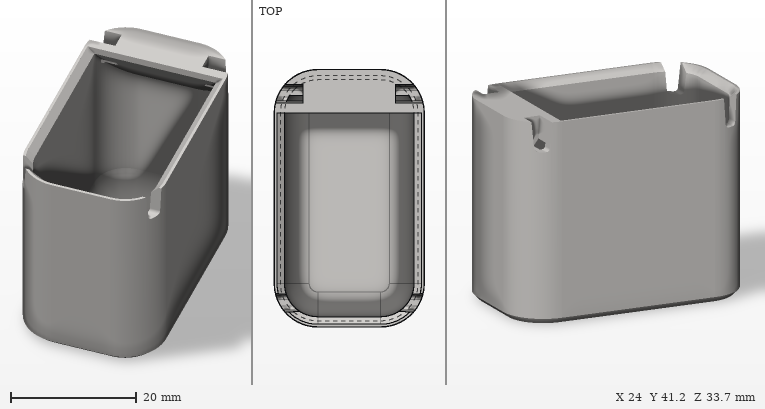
import cadquery as cq

width = 24.0
length = 41.2
height = 33.7
corner_radius = 7.0
base_chamfer = 1.0

wall = 1.65
floor_thickness = 1.65
floor_fillet = 3.95
rim_land = 0.45
rim_flare = wall - rim_land
flare_side_face = 0.005

bridge_front_y = length / 2 - corner_radius
cavity_back_y = length / 2 - wall
bridge_front_height = rim_flare
bridge_underside_drop = 7.1

notch_center_y = 16.73
notch_top_width = 2.93
notch_bottom_width = 2.15
notch_depth = 4.95
notch_fillet = 0.6
notch_inner_x = 7.4


def rounded_block(inset, bottom, block_height):
    """Upright block following the box outline, moved inward by inset."""
    return (
        cq.Workplane("XY", origin=(0, 0, bottom))
        .rect(width - 2 * inset, length - 2 * inset)
        .extrude(block_height)
        .edges("|Z")
        .fillet(corner_radius - inset)
    )


def make_bridge_space():
    """Region filled by the bridge, with its underside rising toward the front."""
    return (
        cq.Workplane("YZ")
        .moveTo(bridge_front_y, height)
        .lineTo(bridge_front_y, height - bridge_front_height)
        .lineTo(cavity_back_y, height - bridge_front_height - bridge_underside_drop)
        .lineTo(length / 2, height - bridge_front_height - bridge_underside_drop)
        .lineTo(length / 2, height)
        .close()
        .extrude(width / 2, both=True)
    )


def make_cavity():
    """Rounded cavity with a filleted floor and a 45 degree flare at the top."""
    pocket = rounded_block(wall, floor_thickness, height - floor_thickness)
    pocket = pocket.faces("<Z").edges().fillet(floor_fillet)
    flare = rounded_block(rim_land, height - rim_flare, rim_flare)
    flare = flare.faces("<Z").edges().chamfer(rim_flare - flare_side_face)
    return pocket.union(flare).cut(make_bridge_space())


def make_notch(side_x, side_y):
    """Tapered notch entering from one side near one end of the box."""
    half_top = notch_top_width / 2
    half_bottom = notch_bottom_width / 2
    notch_length = width / 2 - notch_inner_x
    return (
        cq.Workplane("YZ", origin=(side_x * notch_inner_x, side_y * notch_center_y, height))
        .moveTo(-half_top, 0)
        .lineTo(-half_bottom, -notch_depth)
        .lineTo(half_bottom, -notch_depth)
        .lineTo(half_top, 0)
        .close()
        .extrude(side_x * notch_length)
        .faces("<Z")
        .edges("|X")
        .fillet(notch_fillet)
    )


body = rounded_block(0, 0, height).faces("<Z").edges().chamfer(base_chamfer)
result = body.cut(make_cavity())
for side_x in (-1, 1):
    for side_y in (-1, 1):
        result = result.cut(make_notch(side_x, side_y))